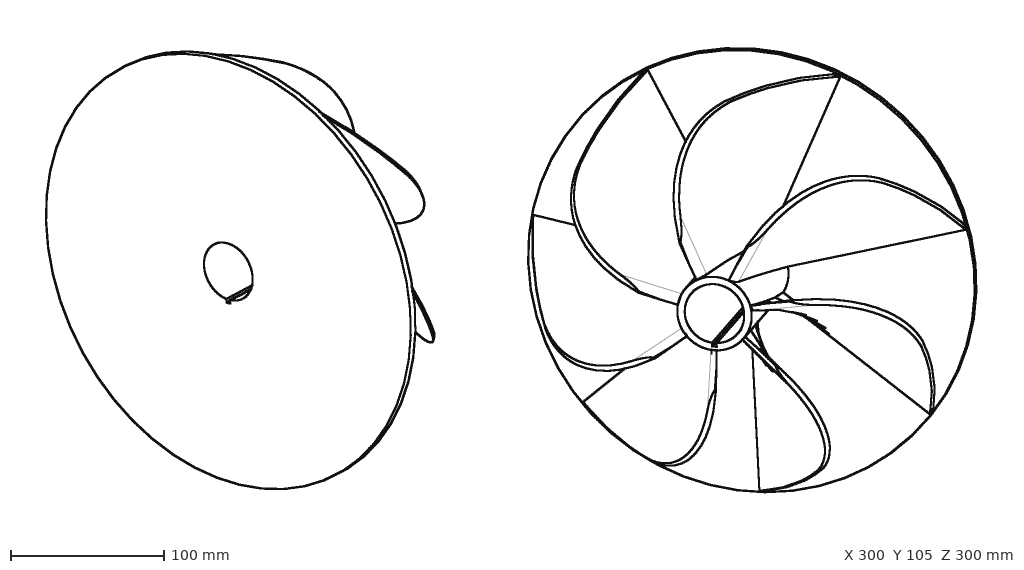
import cadquery as cq
import math

disc_diameter = 300.0
disc_thickness = 5.0
hub_diameter = 50.0
hub_height = 100.0
bore_diameter = 40.0
keyway_width = 3.0
keyway_depth = 2.5

blade_count = 7
blade_height = 100.04
blade_thickness = 4.0
twist_per_height = 0.475
first_blade_angle = 80.0
nose_radius = 10.5

foot_radius = 149.0
shoulder = (130.0, 51.0)
crown_curve = [(118.5, 67.5), (99.0, 82.0), (69.0, 95.0), (52.0, blade_height)]

hub_radius = hub_diameter / 2
bore_radius = bore_diameter / 2
wheel_height = disc_thickness + hub_height

outer_trim = 10.0
top_trim = 0.8
slab_inner_radius = hub_radius / 2
slab_outer_radius = disc_diameter / 2 + outer_trim
slab_height = blade_height + top_trim
slab_twist = slab_height * twist_per_height
nose_stock_thickness = 4 * nose_radius
leading_side = -blade_thickness / 2


def make_wheel():
    """Back disc and keyed hub as one solid, with the axis along Z."""
    disc = cq.Workplane("XY").circle(disc_diameter / 2).extrude(disc_thickness)
    hub = cq.Workplane("XY").circle(hub_radius).extrude(wheel_height)
    bore = cq.Workplane("XY").circle(bore_radius).extrude(wheel_height)
    keyway_reach = bore_radius + keyway_depth
    keyway = (
        cq.Workplane("XY")
        .center(-keyway_reach / 2, 0)
        .rect(keyway_reach, keyway_width)
        .extrude(wheel_height)
    )
    return disc.union(hub).cut(bore).cut(keyway)


def make_blade_envelope():
    """Ring between the hub and the curved outer edge of the blades."""
    return (
        cq.Workplane("XZ")
        .moveTo(hub_radius, 0)
        .lineTo(foot_radius, 0)
        .lineTo(*shoulder)
        .spline(crown_curve, includeCurrent=True)
        .lineTo(hub_radius, blade_height)
        .close()
        .revolve(360, (0, 0, 0), (0, 1, 0))
    )


def make_twisted_slab(thickness):
    """Radial slab that twists as it rises; every thickness shares the same leading side."""
    trailing_side = leading_side + thickness
    return (
        cq.Workplane("XY")
        .moveTo(slab_inner_radius, leading_side)
        .lineTo(slab_outer_radius, leading_side)
        .lineTo(slab_outer_radius, trailing_side)
        .lineTo(slab_inner_radius, trailing_side)
        .close()
        .twistExtrude(slab_height, slab_twist)
    )


def make_nose_stock():
    """Thick twisted slab with its top leading edge rounded."""
    twist = math.radians(slab_twist)
    edge_middle = (slab_inner_radius + slab_outer_radius) / 2
    edge_point = (
        edge_middle * math.cos(twist) - leading_side * math.sin(twist),
        edge_middle * math.sin(twist) + leading_side * math.cos(twist),
        slab_height,
    )
    top_leading_edge = cq.selectors.NearestToPointSelector(edge_point)
    return make_twisted_slab(nose_stock_thickness).edges(top_leading_edge).fillet(nose_radius)


def make_blade():
    """One blade standing on the disc: a thin twisted slab, rounded at the nose and trimmed."""
    slab = make_twisted_slab(blade_thickness)
    blade = slab.intersect(make_nose_stock()).intersect(make_blade_envelope())
    return blade.translate((0, 0, disc_thickness))


def lay_along_y(body):
    """Turn a body from the Z axis to the Y axis, its local +X side facing +Z."""
    return body.rotate((0, 0, 0), (0, 0, 1), -90).rotate((0, 0, 0), (1, 0, 0), -90)


wheel = lay_along_y(make_wheel()).solids().val()

first_blade = make_blade()
blades = []
for index in range(blade_count):
    angle = first_blade_angle + index * 360 / blade_count
    blade = first_blade.rotate((0, 0, 0), (0, 0, 1), angle)
    blades.append(lay_along_y(blade).solids().val())

result = cq.Compound.makeCompound([wheel, *blades])